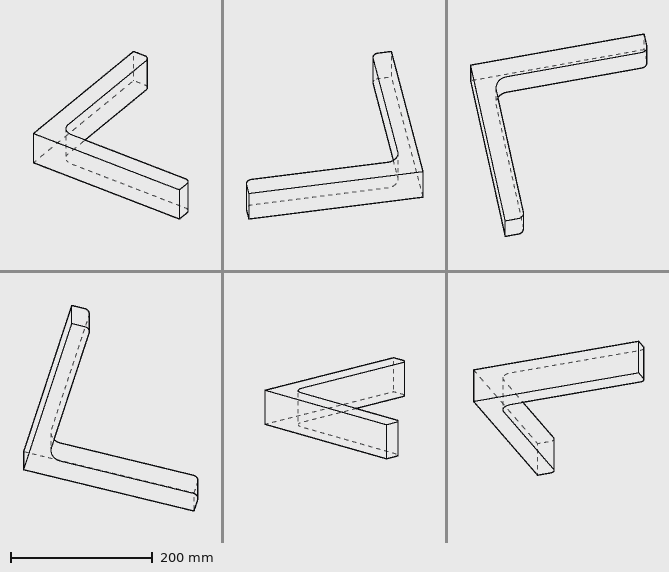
import cadquery as cq

leg_length = 250.0
leg_thickness = 28.0
height = 50.0
root_radius = 18.0
toe_radius = root_radius / 2

profile = [
    (0, 0),
    (leg_length, 0),
    (leg_length, leg_thickness),
    (leg_thickness, leg_thickness),
    (leg_thickness, leg_length),
    (0, leg_length),
]
angle = cq.Workplane("XY").polyline(profile).close().extrude(height)


def round_upright_edge(body, x, y, radius):
    """Round the vertical edge that passes through (x, y)."""
    edge_point = (x, y, height / 2)
    return body.edges(cq.selectors.NearestToPointSelector(edge_point)).fillet(radius)


angle = round_upright_edge(angle, leg_thickness, leg_thickness, root_radius)
angle = round_upright_edge(angle, leg_length, leg_thickness, toe_radius)
angle = round_upright_edge(angle, leg_thickness, leg_length, toe_radius)

result = angle